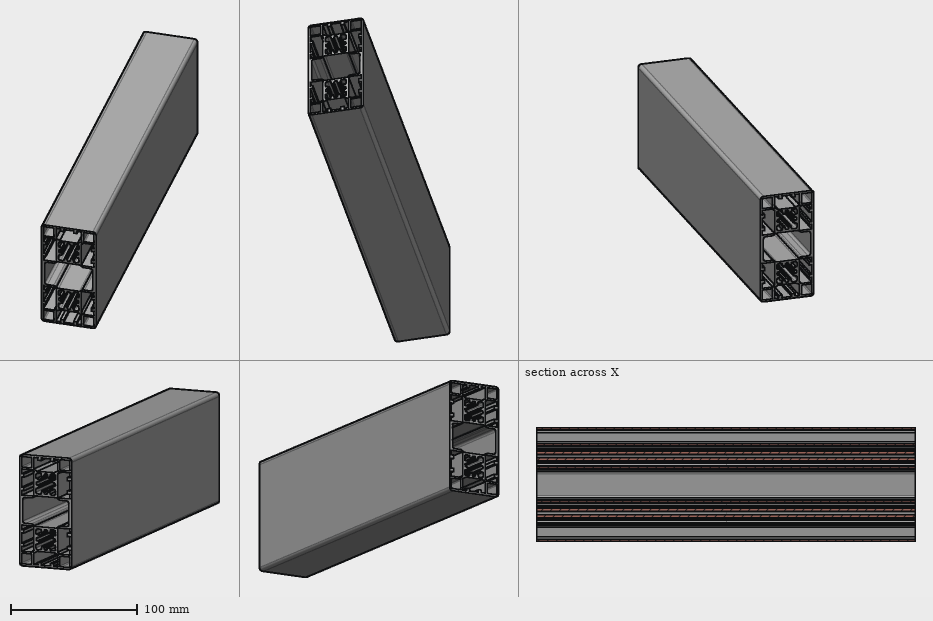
import cadquery as cq
import math

width = 45.0
height = 90.0
length = 300.0
outer_radius = 3.0

wall = 1.8
half_width = width / 2
half_height = height / 2
module_center = height / 4
inner_half_width = half_width - wall
slot_half_width = 10.4

box_inner = slot_half_width + wall
box_size = inner_half_width - box_inner
box_radius = 0.8
box_center = (inner_half_width + box_inner) / 2

slot_floor = 9.8
side_slot_top = 10.7
slot_corner_width = 3.1
slot_corner_height = 1.6
side_corner = 1.6

rib_offset = 5.4
rib_width = 2.7
rib_height = 2.0

chamber_half_width = 19.7
chamber_half_height = 10.4
chamber_radius = 2.0
chamber_rise_half_height = 12.3
chamber_rise_half_width = 9.4
chamber_rise_slope = 2.4
chamber_rise_radius = 2.5

groove_half_width = 1.3
groove_depth = 8.2
tooth_outer = 4.0
tooth_tip = 5.1
tooth_tip_radius = 0.6
pocket_depth = 8.4
pocket_root_radius = 0.8
pocket_corner_radius = 1.6


def section():
    """Sketch plane at mid-length whose local axes are X and Z."""
    return cq.Workplane("XZ")


def extrude(profile):
    return profile.extrude(length / 2, both=True)


def block(x_center, z_center, x_size, z_size):
    return extrude(section().center(x_center, z_center).rect(x_size, z_size))


def corner_box(side):
    z_center = module_center + box_center
    box = block(side * box_center, z_center, box_size, box_size)
    return box.edges("|Y").fillet(box_radius)


def end_slot():
    """Slot between the core and the end wall, with raised lower corners and two ribs."""
    floor = module_center + slot_floor
    roof = half_height - wall
    shoulder = slot_half_width - slot_corner_width
    outline = [
        (-shoulder, floor),
        (shoulder, floor),
        (slot_half_width, floor + slot_corner_height),
        (slot_half_width, roof),
        (-slot_half_width, roof),
        (-slot_half_width, floor + slot_corner_height),
    ]
    slot = extrude(section().polyline(outline).close())
    for side in (-1, 1):
        slot = slot.cut(block(side * rib_offset, roof - rib_height / 2, rib_width, rib_height))
    return slot


def side_slot(side):
    """Slot between the core and a side wall, with one bevelled corner and two ribs."""
    bottom = module_center - slot_half_width
    top = module_center + side_slot_top
    outline = [
        (side * slot_half_width, bottom),
        (side * inner_half_width, bottom),
        (side * inner_half_width, top),
        (side * (slot_half_width + side_corner), top),
        (side * slot_half_width, top - side_corner),
    ]
    slot = extrude(section().polyline(outline).close())
    rib_center = side * (inner_half_width - rib_height / 2)
    for direction in (-1, 1):
        slot = slot.cut(block(rib_center, module_center + direction * rib_offset, rib_height, rib_width))
    return slot


def turned(point, quarters):
    """Point turned clockwise about the bore center by quarter turns."""
    x, z = point
    for _ in range(quarters):
        x, z = z, -x
    return x, z


def half_quadrant():
    """Bore outline from the +Z axis to the diagonal, as (arc midpoint, end point) steps.

    Straight steps have None for the arc midpoint.
    """
    diagonal = math.sqrt(0.5)
    root_corner = tooth_outer + pocket_root_radius
    root_start = pocket_depth - pocket_root_radius
    root_middle = pocket_root_radius * (1 - diagonal)
    corner_start = pocket_depth - pocket_corner_radius
    corner_middle = corner_start + pocket_corner_radius * diagonal
    groove_root = groove_depth - groove_half_width
    tooth_middle = (groove_half_width + tooth_outer) / 2
    tip_start = tooth_tip + tooth_tip_radius
    return [
        ((groove_half_width * diagonal, groove_root + groove_half_width * diagonal),
         (groove_half_width, groove_root)),
        (None, (tooth_middle - tooth_tip_radius, tip_start)),
        ((tooth_middle, tooth_tip), (tooth_middle + tooth_tip_radius, tip_start)),
        (None, (tooth_outer, root_start)),
        ((tooth_outer + root_middle, pocket_depth - root_middle), (root_corner, pocket_depth)),
        (None, (corner_start, pocket_depth)),
        ((corner_middle, corner_middle), (pocket_depth, corner_start)),
    ]


def core_bore():
    """Bore with eight round-tipped teeth, one axial groove per side and four corner pockets."""
    steps = half_quadrant()
    start = (0, groove_depth)
    ends = [start] + [end for _, end in steps]
    for index in reversed(range(len(steps) - 1)):
        middle = steps[index][0]
        mirrored = middle and (middle[1], middle[0])
        end = ends[index]
        steps.append((mirrored, (end[1], end[0])))

    outline = section().center(0, module_center).moveTo(*start)
    for quarter in range(4):
        for middle, end in steps:
            if middle:
                outline = outline.threePointArc(turned(middle, quarter), turned(end, quarter))
            else:
                outline = outline.lineTo(*turned(end, quarter))
    return extrude(outline.close())


def central_chamber():
    """Chamber whose roof and floor step out over the cores along rounded slopes."""
    foot = chamber_rise_half_width + chamber_rise_slope
    right_edge = [
        (chamber_half_width, chamber_half_height),
        (foot, chamber_half_height),
        (chamber_rise_half_width, chamber_rise_half_height),
    ]
    roof = right_edge + [(-x, z) for x, z in reversed(right_edge)]
    floor = [(-x, -z) for x, z in roof]
    chamber = extrude(section().polyline(roof + floor).close())
    chamber = chamber.edges("|Y and (not (<X or >X))").fillet(chamber_rise_radius)
    return chamber.edges("|Y and (<X or >X)").fillet(chamber_radius)


def module_cavities():
    cavities = [end_slot(), core_bore()]
    for side in (-1, 1):
        cavities += [corner_box(side), side_slot(side)]
    return cavities


result = block(0, 0, width, height).edges("|Y").fillet(outer_radius)
result = result.cut(central_chamber())
for cavity in module_cavities():
    result = result.cut(cavity).cut(cavity.mirror("XY"))